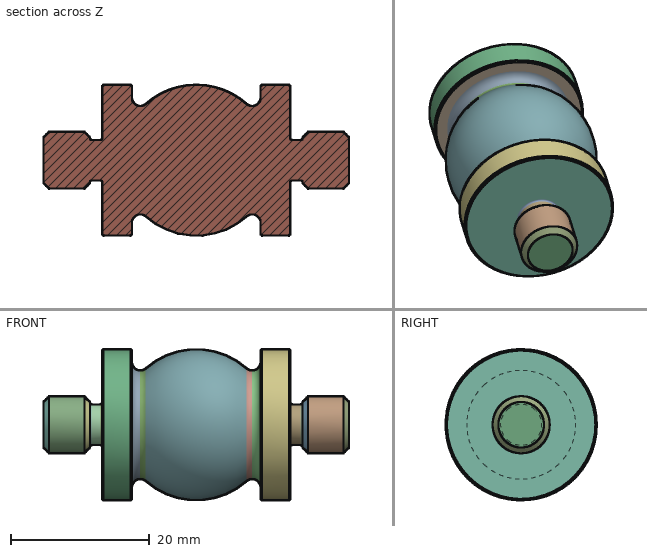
import cadquery as cq
import math

total_length = 44.15
ball_diameter = 21.85
flange_diameter = ball_diameter
flange_outer_x = 13.6
flange_inner_x = 9.25
flange_chamfer = 0.2
waist_radius = 7.85
waist_fillet = 1.2
pin_diameter = 8.25
pin_length = 6.75
pin_chamfer = 0.85
pin_neck_radius = 2.95
pin_neck_fillet = 0.2

end_x = total_length / 2
ball_radius = ball_diameter / 2
flange_radius = flange_diameter / 2
pin_radius = pin_diameter / 2
pin_inner_x = end_x - pin_length
pin_face_radius = pin_radius - pin_chamfer

blend_centre_radius = waist_radius + waist_fillet
blend_centre_x = math.sqrt((ball_radius + waist_fillet) ** 2 - blend_centre_radius**2)
ball_share = ball_radius / (ball_radius + waist_fillet)
ball_end = (blend_centre_x * ball_share, blend_centre_radius * ball_share)

waist_end_x = flange_inner_x - waist_fillet


def revolve_about_x(profile):
    return profile.revolve(360, (0, 0, 0), (1, 0, 0))


def ball_profile():
    """Ball cut flat where it meets the waist blends."""
    ball_end_x, ball_end_radius = ball_end
    return (
        cq.Workplane("XY")
        .moveTo(-ball_end_x, 0)
        .lineTo(-ball_end_x, ball_end_radius)
        .threePointArc((0, ball_radius), ball_end)
        .lineTo(ball_end_x, 0)
        .close()
    )


def end_profile():
    """Waist, flange and pin on the +X side, from the ball out to the pin end."""
    return (
        cq.Workplane("XY")
        .moveTo(ball_end[0], 0)
        .lineTo(*ball_end)
        .radiusArc((blend_centre_x, waist_radius), -waist_fillet)
        .lineTo(waist_end_x, waist_radius)
        .radiusArc((flange_inner_x, waist_radius + waist_fillet), -waist_fillet)
        .lineTo(flange_inner_x, flange_radius - flange_chamfer)
        .lineTo(flange_inner_x + flange_chamfer, flange_radius)
        .lineTo(flange_outer_x - flange_chamfer, flange_radius)
        .lineTo(flange_outer_x, flange_radius - flange_chamfer)
        .lineTo(flange_outer_x, pin_neck_radius + pin_neck_fillet)
        .radiusArc((flange_outer_x + pin_neck_fillet, pin_neck_radius), -pin_neck_fillet)
        .lineTo(pin_inner_x - pin_neck_fillet, pin_neck_radius)
        .radiusArc((pin_inner_x, pin_neck_radius + pin_neck_fillet), -pin_neck_fillet)
        .lineTo(pin_inner_x, pin_face_radius)
        .lineTo(pin_inner_x + pin_chamfer, pin_radius)
        .lineTo(end_x - pin_chamfer, pin_radius)
        .lineTo(end_x, pin_face_radius)
        .lineTo(end_x, 0)
        .close()
    )


ball = revolve_about_x(ball_profile())
end = revolve_about_x(end_profile())
result = ball.union(end).union(end.mirror("YZ"))